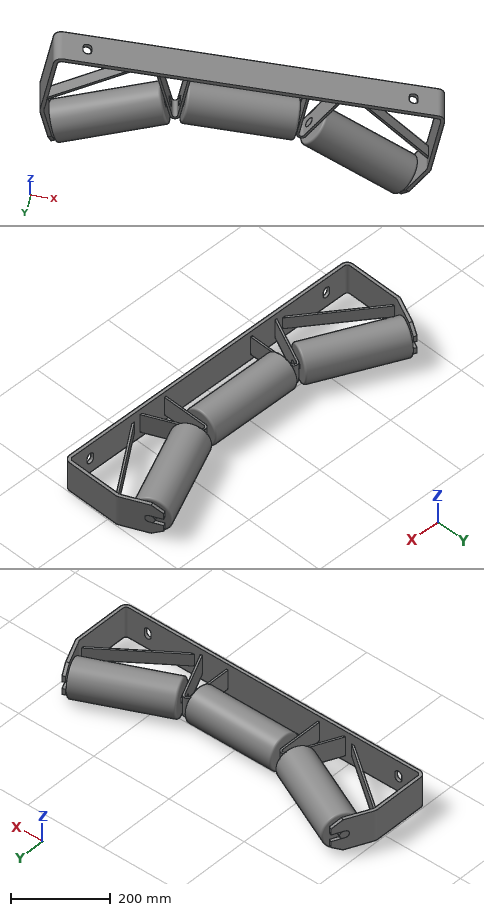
import cadquery as cq
import math

TILT = 25.0
TILT_COS = math.cos(math.radians(TILT))
TILT_SIN = math.sin(math.radians(TILT))

FRAME_LENGTH = 800.0
FRAME_WIDTH = 79.0
FRAME_THICKNESS = 8.0
FRAME_BEND_RADIUS = 12.0
ARM_BEND_Y = 150.0
ARM_TIP_LENGTH = 98.0
TIP_CHAMFER_LENGTH = 26.0
TIP_CHAMFER_WIDTH = 15.0
BOLT_SLOT_X = 334.0
BOLT_SLOT_WIDTH = 18.0
BOLT_SLOT_LENGTH = 27.0

ROLLER_DIAMETER = 89.0
ROLLER_LENGTH = 230.0
ROLLER_EDGE = 5.0
SHAFT_DEPTH = 22.0
SHAFT_WIDTH = 18.0
CENTRE_ROLLER_Y = 102.0
SIDE_ROLLER_X = 255.0
SIDE_ROLLER_Y = 160.0

BRACKET_THICKNESS = 5.0
BRACKET_WIDTH = 50.0
BRACKET_BEND_RADIUS = 8.0
BRACKET_LEG_X = 122.0
BRACKET_FOOT_X = 190.0
BRACE_THICKNESS = 5.0
BRACE_WIDTH = 30.0
BRACE_FOOT_X = 213.0
BRACE_TOP_Y = 139.0


def bent_strip(corners, bend_radius, thickness, width):
    """Sweep a thickness x width strip along the corner points, rounding each inner corner."""
    points = [cq.Vector(x, y) for x, y in corners]
    start_direction = points[1] - points[0]
    path = cq.Workplane("XY").moveTo(*corners[0])
    for before, corner, after in zip(points, points[1:], points[2:]):
        to_before = (before - corner).normalized()
        to_after = (after - corner).normalized()
        half_angle = to_before.getAngle(to_after) / 2
        tangent_length = bend_radius / math.tan(half_angle)
        bisector = (to_before + to_after).normalized()
        arc_start = corner + to_before * tangent_length
        arc_middle = corner + bisector * (bend_radius / math.sin(half_angle) - bend_radius)
        arc_end = corner + to_after * tangent_length
        path = path.lineTo(arc_start.x, arc_start.y)
        path = path.threePointArc((arc_middle.x, arc_middle.y), (arc_end.x, arc_end.y))
    path = path.lineTo(*corners[-1])
    across = cq.Vector(-start_direction.y, start_direction.x)
    section_plane = cq.Plane(origin=points[0], xDir=across, normal=start_direction)
    return cq.Workplane(section_plane).rect(thickness, width).sweep(path)


def mirrored(body):
    return body.mirror("YZ")


def make_roller(shaft_left, shaft_right):
    """shaft_left and shaft_right are the distances from the drum's middle to the shaft ends."""
    drum = (
        cq.Workplane("YZ", origin=(-ROLLER_LENGTH / 2, 0, 0))
        .circle(ROLLER_DIAMETER / 2)
        .extrude(ROLLER_LENGTH)
    )
    drum = drum.faces("<X or >X").edges().fillet(ROLLER_EDGE)
    shaft = (
        cq.Workplane("YZ", origin=(-shaft_left, 0, 0))
        .slot2D(SHAFT_DEPTH, SHAFT_WIDTH)
        .extrude(shaft_left + shaft_right)
    )
    return drum.union(shaft)


arm_x = -(FRAME_LENGTH - FRAME_THICKNESS) / 2
to_arm = (-SIDE_ROLLER_X - arm_x) * TILT_COS - (SIDE_ROLLER_Y - ARM_BEND_Y) * TILT_SIN
to_bracket = (SIDE_ROLLER_X - BRACKET_FOOT_X) * TILT_COS + (SIDE_ROLLER_Y - FRAME_THICKNESS) * TILT_SIN
centre_shaft_reach = BRACKET_LEG_X + BRACKET_THICKNESS / 2

centre_roller = make_roller(centre_shaft_reach, centre_shaft_reach).translate((0, CENTRE_ROLLER_Y, 0))
left_roller = (
    make_roller(to_arm + FRAME_THICKNESS / 2, to_bracket + BRACKET_THICKNESS / 2)
    .rotate((0, 0, 0), (0, 0, 1), -TILT)
    .translate((-SIDE_ROLLER_X, SIDE_ROLLER_Y, 0))
)
rollers = [left_roller, centre_roller, mirrored(left_roller)]


def make_arm_cut():
    """Material removed at the left arm's tip: the open shaft slot and the two corner chamfers."""
    cut_depth = 2 * FRAME_THICKNESS
    half_width = FRAME_WIDTH / 2
    shaft_height = (-SIDE_ROLLER_X - arm_x) * TILT_SIN + (SIDE_ROLLER_Y - ARM_BEND_Y) * TILT_COS
    arm_plane = cq.Plane(
        origin=(arm_x, ARM_BEND_Y, 0), xDir=(TILT_SIN, TILT_COS, 0), normal=(TILT_COS, -TILT_SIN, 0)
    )
    slot_bottom = shaft_height - SHAFT_DEPTH / 2
    slot_end = ARM_TIP_LENGTH + SHAFT_WIDTH
    cut = (
        cq.Workplane(arm_plane)
        .center((slot_bottom + slot_end) / 2, 0)
        .slot2D(slot_end - slot_bottom, SHAFT_WIDTH)
        .extrude(cut_depth, both=True)
    )
    for side in (-1, 1):
        corner = (
            cq.Workplane(arm_plane)
            .moveTo(ARM_TIP_LENGTH, side * half_width)
            .lineTo(ARM_TIP_LENGTH - TIP_CHAMFER_LENGTH, side * half_width)
            .lineTo(ARM_TIP_LENGTH, side * (half_width - TIP_CHAMFER_WIDTH))
            .close()
            .extrude(cut_depth, both=True)
        )
        cut = cut.union(corner)
    return cut


base_y = FRAME_THICKNESS / 2
tip_x = arm_x + ARM_TIP_LENGTH * TILT_SIN
tip_y = ARM_BEND_Y + ARM_TIP_LENGTH * TILT_COS
left_corners = [(tip_x, tip_y), (arm_x, ARM_BEND_Y), (arm_x, base_y)]
right_corners = [(-x, y) for x, y in reversed(left_corners)]
bolt_slots = (
    cq.Workplane("XZ")
    .pushPoints([(-BOLT_SLOT_X, 0), (BOLT_SLOT_X, 0)])
    .slot2D(BOLT_SLOT_LENGTH, BOLT_SLOT_WIDTH, 90)
    .extrude(-FRAME_THICKNESS)
)
arm_cut = make_arm_cut()
frame = (
    bent_strip(left_corners + right_corners, FRAME_BEND_RADIUS, FRAME_THICKNESS, FRAME_WIDTH)
    .cut(bolt_slots)
    .cut(arm_cut)
    .cut(mirrored(arm_cut))
)

above_base = cq.Workplane("XY").box(
    FRAME_LENGTH, FRAME_LENGTH, FRAME_LENGTH, centered=(True, False, True)
).translate((0, FRAME_THICKNESS, 0))

leg_spread = BRACKET_FOOT_X - BRACKET_LEG_X
bracket_apex_y = FRAME_THICKNESS + leg_spread * TILT_COS / TILT_SIN
left_bracket = (
    bent_strip(
        [
            (-BRACKET_FOOT_X - FRAME_THICKNESS * TILT_SIN / TILT_COS, 0),
            (-BRACKET_LEG_X, bracket_apex_y),
            (-BRACKET_LEG_X, 0),
        ],
        BRACKET_BEND_RADIUS,
        BRACKET_THICKNESS,
        BRACKET_WIDTH,
    )
    .intersect(above_base)
    .cut(left_roller)
    .cut(centre_roller)
)
brackets = [left_bracket, mirrored(left_bracket)]


def make_left_brace():
    arm_face_x = arm_x + FRAME_THICKNESS / 2
    run = cq.Vector(-BRACE_FOOT_X - arm_face_x, FRAME_THICKNESS - BRACE_TOP_Y)
    trim_allowance = 4 * BRACE_THICKNESS
    slope = math.degrees(math.atan2(run.y, run.x))
    bar = (
        cq.Workplane("XY")
        .box(run.Length + trim_allowance, BRACE_THICKNESS, BRACE_WIDTH)
        .rotate((0, 0, 0), (0, 0, 1), slope)
        .translate((arm_face_x + run.x / 2, BRACE_TOP_Y + run.y / 2, 0))
    )
    inside_arm = cq.Workplane("XY").box(
        FRAME_LENGTH, FRAME_LENGTH, FRAME_LENGTH, centered=(False, True, True)
    ).translate((arm_face_x, 0, 0))
    return bar.intersect(above_base).intersect(inside_arm)


left_brace = make_left_brace()
braces = [left_brace, mirrored(left_brace)]

bodies = [frame, *brackets, *braces, *rollers]
result = cq.Compound.makeCompound([body.val() for body in bodies])